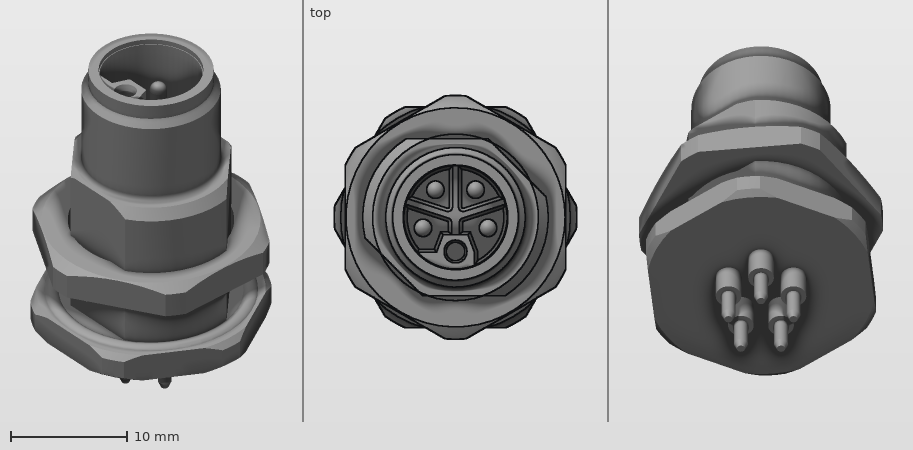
import cadquery as cq
import math

total_height = 31.4
collar_bottom = 3.1
flange_bottom = 5.65
flange_top = 8.3
lock_nut_bottom = 12.8
lock_nut_top = 15.65
body_top = 21.92
rim_bottom = 30.05

body_diameter = 15.95
body_top_chamfer = 0.85
body_flat_distance = 6.75
body_flat_angles = (45, 90, 225, 270)
sleeve_diameter = 12.0
sleeve_root_fillet = 0.45
rim_diameter = 10.8
rim_shoulder_height = 0.65

hex_across_flats = 19.0
flange_corner_angle = 0
lock_nut_corner_angle = 30
lock_nut_corner_diameter = 20.98
lock_nut_bore_diameter = 14.32
lock_nut_chamfer_width = 1.07
lock_nut_chamfer_height = 0.55
flange_corner_diameter = 20.88
flange_chamfer_width = 0.55
flange_chamfer_height = 0.47

seal_inner_radius = 7.95
seal_outer_radius = 9.2
seal_height = 0.28

mouth_diameter = 9.0
mouth_depth = 0.47
bore_diameter = 8.9
insert_face = 22.92
pocket_depth = 0.3
pocket_slope_width = 0.28
pocket_corner_radius = 0.4
hub_reach = 0.95
rib_width = 0.5
rib_angles = (18, 90, 162)
lower_rib_width = 0.65

block_top = 30.55
block_top_half_width = 1.07
block_half_width = 1.63
block_top_y = -1.5
block_shoulder_y = -3.0

contact_circle_diameter = 5.87
contact_angles = [54 + 72 * i for i in range(5)]
earth_angle = 270
contact_diameter = 1.5
contact_tip = 28.0
earth_mouth_diameter = 1.98
earth_hole_diameter = 1.6
earth_mouth_depth = 0.55
collar_diameter = 2.2
pin_diameter = 1.2
pin_tip_diameter = 0.7
pin_tip_length = 0.6


def cylinder(diameter, bottom, top):
    return cq.Workplane("XY").workplane(offset=bottom).circle(diameter / 2).extrude(top - bottom)


def revolve_profile(profile):
    """Turn a closed radius-height profile about the Z axis."""
    return profile.close().revolve(360, (0, 0, 0), (0, 1, 0))


def contact_position(angle):
    radians = math.radians(angle)
    radius = contact_circle_diameter / 2
    return (radius * math.cos(radians), radius * math.sin(radians), 0)


def hexagon(bottom, top, corner_angle, corner_diameter, chamfer_width, chamfer_height):
    """Hexagonal prism whose corners are turned down and chamfered at the top."""
    prism = (
        cq.Workplane("XY")
        .workplane(offset=bottom)
        .polygon(6, hex_across_flats / math.cos(math.pi / 6))
        .extrude(top - bottom)
        .rotate((0, 0, 0), (0, 0, 1), corner_angle)
    )
    turned = cylinder(corner_diameter, bottom, top)
    return prism.intersect(turned.faces(">Z").chamfer(chamfer_height, chamfer_width))


def make_flange():
    """Hexagon chamfered at both ends: the lower half mirrors the upper half."""
    middle = (flange_bottom + flange_top) / 2
    upper_half = hexagon(
        middle,
        flange_top,
        flange_corner_angle,
        flange_corner_diameter,
        flange_chamfer_width,
        flange_chamfer_height,
    )
    return upper_half.union(upper_half.mirror("XY", (0, 0, middle)))


def make_lock_nut():
    """Hexagon nut whose bore reaches past the body flats, leaving a gap beside each flat."""
    nut = hexagon(
        lock_nut_bottom,
        lock_nut_top,
        lock_nut_corner_angle,
        lock_nut_corner_diameter,
        lock_nut_chamfer_width,
        lock_nut_chamfer_height,
    )
    return nut.cut(cylinder(lock_nut_bore_diameter, lock_nut_bottom, lock_nut_top))


def make_body():
    body = cylinder(body_diameter, flange_bottom, body_top).faces(">Z").chamfer(body_top_chamfer)
    for angle in body_flat_angles:
        beyond_flat = (
            cq.Workplane("XY")
            .box(body_diameter, 2 * body_diameter, total_height, centered=(False, True, False))
            .translate((body_flat_distance, 0, 0))
            .rotate((0, 0, 0), (0, 0, 1), angle)
        )
        body = body.cut(beyond_flat)
    return body


def make_sleeve():
    sleeve_radius = sleeve_diameter / 2
    root_radius = sleeve_radius + sleeve_root_fillet
    fillet_reach = sleeve_root_fillet * (1 - math.sqrt(0.5))
    return revolve_profile(
        cq.Workplane("XZ")
        .moveTo(0, flange_top)
        .lineTo(sleeve_radius, flange_top)
        .lineTo(sleeve_radius, body_top)
        .lineTo(root_radius, body_top)
        .threePointArc(
            (sleeve_radius + fillet_reach, body_top + fillet_reach),
            (sleeve_radius, body_top + sleeve_root_fillet),
        )
        .lineTo(sleeve_radius, rim_bottom - rim_shoulder_height)
        .lineTo(rim_diameter / 2, rim_bottom)
        .lineTo(rim_diameter / 2, total_height)
        .lineTo(0, total_height)
    )


def make_seal():
    crest_radius = (seal_inner_radius + seal_outer_radius) / 2
    return revolve_profile(
        cq.Workplane("XZ")
        .moveTo(seal_inner_radius, flange_top)
        .threePointArc((crest_radius, flange_top + seal_height), (seal_outer_radius, flange_top))
    )


def make_earth_block():
    """Block from the pocket floor upwards, bounded by the bore wall."""
    floor = insert_face - pocket_depth
    outline = [
        (block_top_half_width, block_top_y),
        (block_half_width, block_shoulder_y),
        (block_half_width, -bore_diameter / 2),
        (-bore_diameter / 2, -bore_diameter / 2),
        (-bore_diameter / 2, block_shoulder_y),
        (-block_half_width, block_shoulder_y),
        (-block_top_half_width, block_top_y),
    ]
    block = cq.Workplane("XY").workplane(offset=floor).polyline(outline).close().extrude(block_top - floor)
    return block.intersect(cylinder(bore_diameter, floor, block_top))


def make_rib(width, angle):
    rib = cq.Workplane("XY").box(bore_diameter, width, pocket_depth, centered=(False, True, False))
    return rib.rotate((0, 0, 0), (0, 0, 1), angle).translate((0, 0, insert_face - pocket_depth))


def make_pockets(block):
    """Four shallow recesses with sloping sides, parted by the ribs and the earth block."""
    recess = cylinder(bore_diameter, insert_face - pocket_depth, insert_face).cut(block)
    for angle in rib_angles:
        recess = recess.cut(make_rib(rib_width, angle))
    recess = recess.cut(make_rib(lower_rib_width, earth_angle))
    hub = cq.selectors.BoxSelector((-hub_reach, -hub_reach, 0), (hub_reach, hub_reach, total_height))
    recess = recess.edges("|Z").edges(hub).fillet(pocket_corner_radius)
    return recess.faces("<Z").chamfer(pocket_slope_width)


def make_plug_contact():
    """Round contact with a hemispherical tip."""
    tip_center = contact_tip - contact_diameter / 2
    tip = cq.Workplane("XY").sphere(contact_diameter / 2).translate((0, 0, tip_center))
    return cylinder(contact_diameter, flange_top, tip_center).union(tip)


def make_earth_hole():
    hole = cylinder(earth_hole_diameter, insert_face, block_top)
    mouth = (
        cq.Workplane("XY")
        .workplane(offset=block_top - earth_mouth_depth)
        .circle(earth_hole_diameter / 2)
        .workplane(offset=earth_mouth_depth)
        .circle(earth_mouth_diameter / 2)
        .loft()
    )
    return hole.union(mouth)


def make_solder_pin():
    pin = cylinder(pin_diameter, 0, flange_top)
    pin = pin.faces("<Z").chamfer(pin_tip_length, (pin_diameter - pin_tip_diameter) / 2)
    return pin.union(cylinder(collar_diameter, collar_bottom, flange_top))


result = make_body().union(make_flange()).union(make_lock_nut()).union(make_seal()).union(make_sleeve())

earth_block = make_earth_block()
result = result.cut(cylinder(mouth_diameter, total_height - mouth_depth, total_height))
result = result.cut(cylinder(bore_diameter, insert_face, total_height))
result = result.cut(make_pockets(earth_block)).union(earth_block)

for angle in contact_angles:
    position = contact_position(angle)
    result = result.union(make_solder_pin().translate(position))
    if angle == earth_angle:
        result = result.cut(make_earth_hole().translate(position))
    else:
        result = result.union(make_plug_contact().translate(position))